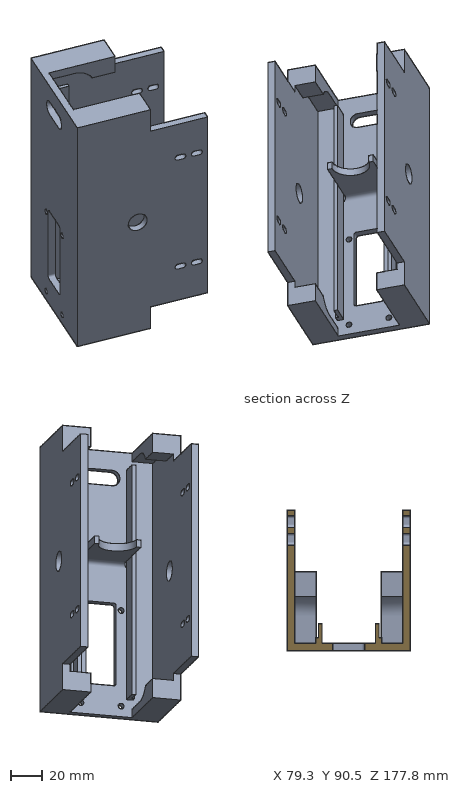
import cadquery as cq
import math

width = 79.3
depth = 90.5
height = 177.8
wall = 5.0
block_depth = 50.9
ear_setback = 17.5

end_flange = 12.8
end_web = 5.7
flange_step_y = 34.8
hollow_radius = 14.0
channel_width = 41.6

rail_gap = 34.1
rail_thickness = 2.5
rail_depth = 12.5
rail_foot_depth = 3.5
rail_foot_width = 4.3
rail_end = 11.7

cradle_width = 31.0
cradle_back_y = 42.0
cradle_bottom_z = 103.1
cradle_thickness = wall
groove_radius = 12.5
root_fillet = 3.0
side_root_fillet = 1.6

window_width = 20.3
window_bottom = 20.5
window_height = 55.5
window_corner = 1.8
screw_diameter = 3.7
screw_spacing_x = 27.0
screw_rows_z = (7.1, 71.5)
grip_length = 25.2
grip_height = 10.3
grip_z = 160.0

side_hole_diameter = 13.0
side_hole_y = cradle_back_y
side_slot_length = 7.5
side_slot_height = 3.7
side_slot_columns_y = (71.7, 83.0)
side_slot_spacing_z = 88.5


def block(x_size, y_start, y_end, z_start, z_end, x_center=0.0):
    """Box centred on x_center, spanning the given Y and Z ranges."""
    size = (x_size, y_end - y_start, z_end - z_start)
    solid = cq.Workplane("XY").box(*size, centered=(True, False, False))
    return solid.translate((x_center, y_start, z_start))


def extrude_across(sketch, x_size):
    """Extrude a YZ outline symmetrically about X = 0."""
    return sketch.extrude(x_size / 2, both=True)


def front_plane():
    """Plane on the front face: local x is X, local y is Z, normal toward -Y."""
    return cq.Workplane("XZ")


def make_shell():
    solid = block(width, 0, block_depth, 0, height)
    solid = solid.union(block(width, 0, depth, ear_setback, height - ear_setback))

    drop = end_flange - end_web
    sweep = math.acos(1 - drop / hollow_radius)
    tangent_y = flange_step_y - hollow_radius * math.sin(sweep)
    mid_y = tangent_y + hollow_radius * math.sin(sweep / 2)
    mid_z = end_web + hollow_radius * (1 - math.cos(sweep / 2))
    cavity = (
        cq.Workplane("YZ")
        .moveTo(wall, end_web)
        .lineTo(tangent_y, end_web)
        .threePointArc((mid_y, mid_z), (flange_step_y, end_flange))
        .lineTo(depth, end_flange)
        .lineTo(depth, height - end_flange)
        .lineTo(flange_step_y, height - end_flange)
        .threePointArc((mid_y, height - mid_z), (tangent_y, height - end_web))
        .lineTo(wall, height - end_web)
        .close()
    )
    solid = solid.cut(extrude_across(cavity, width - 2 * wall))
    return solid.cut(block(channel_width, wall, depth, 0, height))


def make_rail(side):
    """Guide rail on one side (side = -1 or 1) with a step at its root."""
    inner_x = rail_gap / 2
    rail_x = side * (inner_x + rail_thickness / 2)
    foot_x = side * (inner_x + rail_foot_width / 2)
    rail = block(rail_thickness, wall / 2, wall + rail_depth, rail_end, height - rail_end, rail_x)
    foot = block(rail_foot_width, wall / 2, wall + rail_foot_depth, rail_end, height - rail_end, foot_x)
    return rail.union(foot)


def flared_strip(plane, start, end, low, high, radius):
    """Strip running from start to end, flaring by concave arcs of the given radius
    where it meets the front plate. Works in a plane whose local x is Y.
    """
    diagonal = radius * (1 - math.sqrt(0.5))
    return (
        plane.moveTo(start, low - radius)
        .lineTo(wall, low - radius)
        .threePointArc((wall + diagonal, low - diagonal), (wall + radius, low))
        .lineTo(end, low)
        .lineTo(end, high)
        .lineTo(wall + radius, high)
        .threePointArc((wall + diagonal, high + diagonal), (wall, high + radius))
        .lineTo(start, high + radius)
        .close()
    )


def make_cradle():
    """Shelf with a half-round groove, as the common part of its plan and side outlines."""
    half = cradle_width / 2
    top_z = cradle_bottom_z + cradle_thickness
    buried_y = wall / 2
    plan_plane = cq.Workplane(cq.Plane(origin=(0, 0, 0), xDir=(0, 1, 0), normal=(0, 0, 1)))
    plan = flared_strip(plan_plane, buried_y, cradle_back_y, -half, half, side_root_fillet)
    side = flared_strip(
        cq.Workplane("YZ"), buried_y, cradle_back_y, cradle_bottom_z, top_z, root_fillet
    )
    groove = cq.Workplane("XY").center(0, cradle_back_y).circle(groove_radius).extrude(height)
    return plan.extrude(height).intersect(extrude_across(side, width)).cut(groove)


def cut_front_openings(solid):
    window = block(window_width, 0, wall, window_bottom, window_bottom + window_height)
    solid = solid.cut(window.edges("|Y").fillet(window_corner))
    grip = front_plane().center(0, grip_z).slot2D(grip_length, grip_height).extrude(-wall)
    screw_points = [(side * screw_spacing_x / 2, z) for side in (-1, 1) for z in screw_rows_z]
    screws = front_plane().pushPoints(screw_points).circle(screw_diameter / 2).extrude(-wall)
    return solid.cut(grip).cut(screws)


def cut_side_openings(solid):
    middle_z = height / 2
    hole = cq.Workplane("YZ").center(side_hole_y, middle_z).circle(side_hole_diameter / 2)
    slot_points = [
        (y, middle_z + end * side_slot_spacing_z / 2)
        for y in side_slot_columns_y
        for end in (-1, 1)
    ]
    slots = cq.Workplane("YZ").pushPoints(slot_points).slot2D(side_slot_length, side_slot_height)
    return solid.cut(extrude_across(hole, width)).cut(extrude_across(slots, width))


housing = make_shell().union(make_cradle())
for rail_side in (-1, 1):
    housing = housing.union(make_rail(rail_side))
housing = cut_front_openings(housing)
result = cut_side_openings(housing)